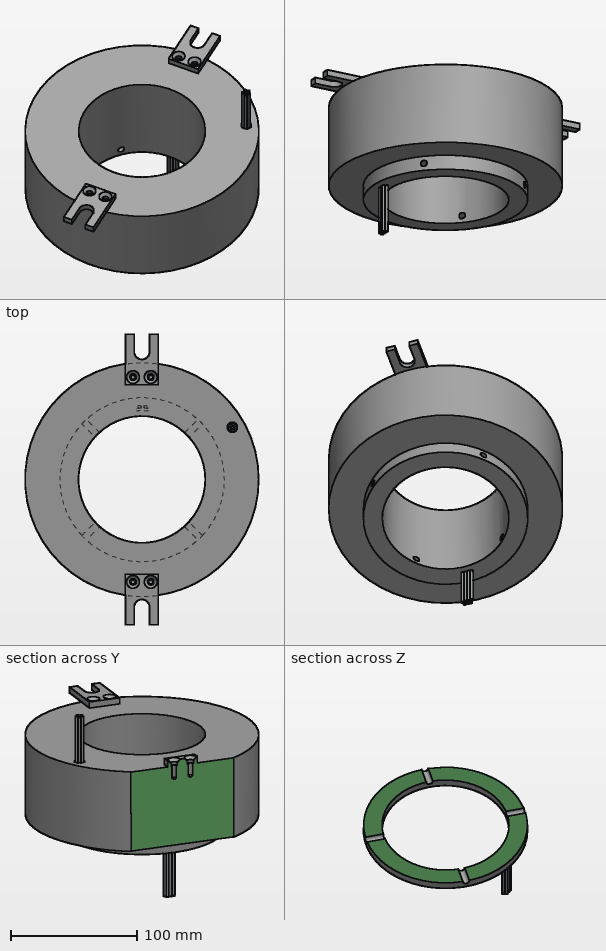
import cadquery as cq
import math

ring_diameter = 185.0
ring_height = 66.5
hub_diameter = 130.0
hub_height = 12.0
bore_diameter = 100.0
hub_bottom = -(ring_height + hub_height)

set_screw_diameter = 5.0
set_screw_angles = (45, 135, 225, 315)

overall_length = 230
bracket_length = 40.0
bracket_width = 26.0
bracket_thickness = 5.0
fork_slot_width = 12.0
fork_slot_depth = 20.0

screw_spacing = 14.0
screw_edge_distance = 6.0
clearance_diameter = 5.0
countersink_diameter = 10.1
countersink_angle = 90
tapped_diameter = 3.5
tapped_depth = 10.1
drill_point_angle = 118

wire_diameter = 2.18
wire_gap = 0.35
wire_pitch = wire_diameter + wire_gap
row_pitch = wire_pitch * math.sin(math.radians(60))

top_wire_length = 37.7
top_bundle_radius = 82.5
top_bundle_angle = 30
top_bundle_twist = 66
outer_wire_count = 5
lead_pocket_diameter = 8.0
lead_pocket_depth = 5.0

bottom_wire_length = 38.9
bottom_bundle_x = 0.35
bottom_bundle_y = 56.5
front_row_count = 4
back_row_count = 3


def polar_point(radius, angle):
    radians = math.radians(angle)
    return (radius * math.cos(radians), radius * math.sin(radians))


def cylinder(diameter, bottom, height):
    return cq.Workplane("XY").workplane(offset=bottom).circle(diameter / 2).extrude(height)


def make_body():
    """Ring and hub with a common bore and the radial set-screw holes."""
    body = cylinder(ring_diameter, -ring_height, ring_height)
    body = body.union(cylinder(hub_diameter, hub_bottom, hub_height))
    body = body.cut(cylinder(bore_diameter, hub_bottom, -hub_bottom))
    screw_hole = (
        cq.Workplane("YZ")
        .center(0, hub_bottom + hub_height / 2)
        .circle(set_screw_diameter / 2)
        .extrude(hub_diameter / 2)
    )
    for angle in set_screw_angles:
        body = body.cut(screw_hole.rotate((0, 0, 0), (0, 0, 1), angle))
    return body


def screw_points():
    """Screw centers of the +Y bracket."""
    screw_y = overall_length / 2 - bracket_length + screw_edge_distance
    return [(side * screw_spacing / 2, screw_y) for side in (-1, 1)]


def make_bracket():
    """Bracket at the +Y end, with its fork open outward."""
    outer_end = overall_length / 2
    inner_end = outer_end - bracket_length
    slot_center = outer_end - fork_slot_depth + fork_slot_width / 2
    plate = (
        cq.Workplane("XY")
        .center(0, (inner_end + outer_end) / 2)
        .rect(bracket_width, bracket_length)
        .extrude(bracket_thickness)
    )
    slot = (
        cq.Workplane("XY")
        .moveTo(-fork_slot_width / 2, outer_end)
        .lineTo(-fork_slot_width / 2, slot_center)
        .threePointArc((0, outer_end - fork_slot_depth), (fork_slot_width / 2, slot_center))
        .lineTo(fork_slot_width / 2, outer_end)
        .close()
        .extrude(bracket_thickness)
    )
    return (
        plate.cut(slot)
        .faces(">Z")
        .workplane(origin=(0, 0, bracket_thickness))
        .pushPoints(screw_points())
        .cskHole(clearance_diameter, countersink_diameter, countersink_angle)
    )


def make_tapped_holes():
    """Blind holes with conical bottoms in the ring under the +Y bracket screws."""
    radius = tapped_diameter / 2
    point_depth = radius / math.tan(math.radians(drill_point_angle / 2))
    hole = (
        cq.Workplane("XZ")
        .lineTo(radius, 0)
        .lineTo(radius, -tapped_depth)
        .lineTo(0, -tapped_depth - point_depth)
        .close()
        .revolve()
    )
    left, right = screw_points()
    return hole.translate((*left, 0)).union(hole.translate((*right, 0)))


def make_wires(points, bottom, length):
    """Upright wires, one at each point."""
    return (
        cq.Workplane("XY")
        .workplane(offset=bottom)
        .pushPoints(points)
        .circle(wire_diameter / 2)
        .extrude(length)
    )


def add_top_bundle(body):
    """One wire surrounded by a ring of wires, standing on the floor of a round pocket."""
    center_x, center_y = polar_point(top_bundle_radius, top_bundle_angle)
    points = [(center_x, center_y)]
    for index in range(outer_wire_count):
        x, y = polar_point(wire_pitch, top_bundle_twist + index * 360 / outer_wire_count)
        points.append((center_x + x, center_y + y))
    pocket = cylinder(lead_pocket_diameter, -lead_pocket_depth, lead_pocket_depth)
    wires = make_wires(points, -lead_pocket_depth, lead_pocket_depth + top_wire_length)
    return body.cut(pocket.translate((center_x, center_y, 0))).union(wires)


def add_bottom_bundle(body):
    """Two staggered rows of wires hanging from the hub."""
    points = []
    for count, row_side in ((front_row_count, -1), (back_row_count, 1)):
        for index in range(count):
            x = bottom_bundle_x + (index - (count - 1) / 2) * wire_pitch
            points.append((x, bottom_bundle_y + row_side * row_pitch / 2))
    return body.union(make_wires(points, hub_bottom - bottom_wire_length, bottom_wire_length))


result = make_body()
for bracket_angle in (0, 180):
    bracket = make_bracket().rotate((0, 0, 0), (0, 0, 1), bracket_angle)
    tapped_holes = make_tapped_holes().rotate((0, 0, 0), (0, 0, 1), bracket_angle)
    result = result.cut(tapped_holes).union(bracket)
result = add_top_bundle(result)
result = add_bottom_bundle(result)